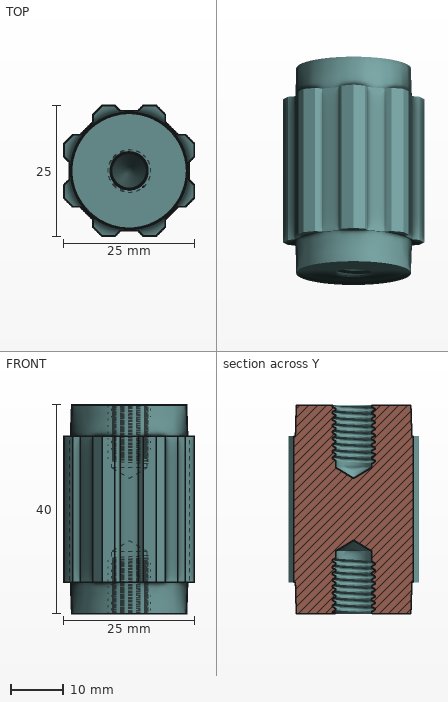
import cadquery as cq
import math

LENGTH = 40.0
ACROSS_FLATS = 25.0
END_LENGTH = 6.0
END_TIP_DIAMETER = 22.0
END_BASE_DIAMETER = 22.4

SIDE_COUNT = 8
FLUTE_DEPTH = 1.0
FLUTE_FLOOR_WIDTH = 3.45

CORE_DIAMETER = 6.75
THREAD_DIAMETER = 8.15
PITCH = 1.25
ROOT_WIDTH = PITCH / 8
FLANK_ANGLE = 30.0
HOLE_DEPTH = 12.0
DRILL_POINT_ANGLE = 118.0
RIM_DIAMETER = 7.2
RIM_DEPTH = 0.25
THREAD_START_DEPTH = 10.8
THREAD_TURNS = 9
CUTTER_OVERLAP = 0.1


def make_end():
    """Round end at the bottom of the part, narrowing towards its tip."""
    return (
        cq.Workplane("XY")
        .circle(END_TIP_DIAMETER / 2)
        .workplane(offset=END_LENGTH)
        .circle(END_BASE_DIAMETER / 2)
        .loft()
    )


def make_grip():
    """Octagonal prism with a trapezoidal flute along every flat."""
    height = LENGTH - 2 * END_LENGTH
    apothem = ACROSS_FLATS / 2
    side_angle = 360 / SIDE_COUNT
    base = cq.Workplane("XY").workplane(offset=END_LENGTH)
    corner_diameter = ACROSS_FLATS / math.cos(math.pi / SIDE_COUNT)
    octagon = base.transformed(rotate=(0, 0, side_angle / 2))
    grip = octagon.polygon(SIDE_COUNT, corner_diameter).extrude(height)

    floor_half = FLUTE_FLOOR_WIDTH / 2
    mouth_half = floor_half + FLUTE_DEPTH
    flute = (
        base.polyline([
            (apothem - FLUTE_DEPTH, -floor_half),
            (apothem, -mouth_half),
            (apothem, mouth_half),
            (apothem - FLUTE_DEPTH, floor_half),
        ])
        .close()
        .extrude(height)
    )
    for side in range(SIDE_COUNT):
        grip = grip.cut(flute.rotate((0, 0, 0), (0, 0, 1), side * side_angle))
    return grip


def make_hole():
    """Core of the top hole: a countersunk rim, a straight bore and a drill point.

    The profile lies in YZ so that the seam of the bore stays clear of the thread's start in XZ.
    """
    core_radius = CORE_DIAMETER / 2
    rim_radius = RIM_DIAMETER / 2
    bore_floor = LENGTH - HOLE_DEPTH
    point_length = core_radius / math.tan(math.radians(DRILL_POINT_ANGLE / 2))
    return (
        cq.Workplane("YZ")
        .polyline([
            (0, LENGTH),
            (rim_radius, LENGTH),
            (core_radius, LENGTH - RIM_DEPTH),
            (core_radius, bore_floor),
            (0, bore_floor - point_length),
        ])
        .close()
        .revolve(360, (0, 0, 0), (0, 1, 0))
    )


def make_thread():
    """Right-hand helical groove of the top hole, stopping under the rim.

    The helix runs past the top of the part and is trimmed back to the threaded zone.
    """
    start_height = LENGTH - THREAD_START_DEPTH
    inner_radius = CORE_DIAMETER / 2 - CUTTER_OVERLAP
    outer_radius = THREAD_DIAMETER / 2
    root_half = ROOT_WIDTH / 2
    groove_depth = outer_radius - inner_radius
    mouth_half = root_half + groove_depth * math.tan(math.radians(FLANK_ANGLE))
    helix = cq.Wire.makeHelix(PITCH, THREAD_TURNS * PITCH, outer_radius, cq.Vector(0, 0, start_height))
    groove = (
        cq.Workplane("XZ")
        .polyline([
            (inner_radius, start_height - mouth_half),
            (outer_radius, start_height - root_half),
            (outer_radius, start_height + root_half),
            (inner_radius, start_height + mouth_half),
        ])
        .close()
        .sweep(cq.Workplane(obj=helix), isFrenet=True)
    )
    threaded_zone = (
        cq.Workplane("XY")
        .workplane(offset=LENGTH - HOLE_DEPTH)
        .circle(THREAD_DIAMETER)
        .extrude(HOLE_DEPTH - RIM_DEPTH)
    )
    return groove.intersect(threaded_zone)


def turned_end_for_end(shape):
    """Half turn about the X direction through mid-length, keeping threads right-handed."""
    return shape.rotate((0, 0, LENGTH / 2), (1, 0, LENGTH / 2), 180)


bottom_end = make_end()
body = make_grip().union(bottom_end).union(turned_end_for_end(bottom_end))

for cutter in (make_hole(), make_thread()):
    body = body.cut(cutter).cut(turned_end_for_end(cutter))

result = cq.Workplane(obj=body.solids().val())